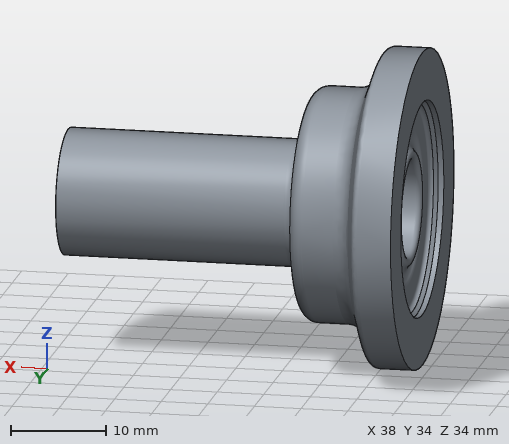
import cadquery as cq
import math

total_length = 38.0
flange_radius = 34.0 / 2
body_radius = 25.0 / 2
tube_radius = 13.5 / 2
bore_radius = 10.3 / 2

flange_corner_x = 4.1
back_slope = math.radians(19.5)
shoulder_x = 12.0
rim_fillet = 0.7
cone_fillet = 1.98
shoulder_fillet = 1.6
tube_fillet = 1.52

recess_radius = 11.5
recess_inner_radius = 22.4 / 2
recess_floor_x = 1.52
recess_wall_length = 0.6
recess_floor_radius = 10.7
recess_fillet = recess_inner_radius - recess_floor_radius

groove_edge_radius = 8.4
groove_start_radius = 7.95
lip_start_radius = 6.15
lip_crest_radius = 5.7
groove_entry_angle = math.radians(30)
lip_angle = math.radians(50)
lip_inner_round = lip_crest_radius - bore_radius


def revolve(profile):
    return profile.close().revolve(360, (0, 0, 0), (1, 0, 0))


def edges_at(body, x, radius):
    """Round edges in the plane at x with the given radius."""
    tolerance = 0.005
    box = cq.selectors.BoxSelector(
        (x - tolerance, -radius - tolerance, -radius - tolerance),
        (x + tolerance, radius + tolerance, radius + tolerance),
        boundingbox=True,
    )
    return body.edges(box).edges("%CIRCLE").edges(cq.selectors.RadiusNthSelector(-1))


def make_outside():
    cone_end_x = flange_corner_x + (flange_radius - body_radius) * math.tan(back_slope)
    body = revolve(
        cq.Workplane("XY")
        .moveTo(0, 0)
        .lineTo(0, flange_radius)
        .lineTo(flange_corner_x, flange_radius)
        .lineTo(cone_end_x, body_radius)
        .lineTo(shoulder_x, body_radius)
        .lineTo(shoulder_x, tube_radius)
        .lineTo(total_length, tube_radius)
        .lineTo(total_length, 0)
    )
    body = edges_at(body, flange_corner_x, flange_radius).fillet(rim_fillet)
    body = edges_at(body, cone_end_x, body_radius).fillet(cone_fillet)
    body = edges_at(body, shoulder_x, body_radius).fillet(shoulder_fillet)
    return edges_at(body, shoulder_x, tube_radius).fillet(tube_fillet)


def make_cavity():
    """Recess and bore as one solid, with the grooved floor and lip left standing."""

    roll_round = (groove_edge_radius - groove_start_radius) / math.sin(groove_entry_angle)
    groove_round = (groove_start_radius - lip_start_radius) / (
        math.sin(groove_entry_angle) + math.sin(lip_angle)
    )
    lip_outer_round = (lip_start_radius - lip_crest_radius) / math.sin(lip_angle)
    groove_start_x = recess_floor_x + roll_round * (1 - math.cos(groove_entry_angle))
    lip_start_x = groove_start_x - groove_round * (math.cos(groove_entry_angle) - math.cos(lip_angle))
    lip_crest_x = lip_start_x - lip_outer_round * (1 - math.cos(lip_angle))

    return revolve(
        cq.Workplane("XY")
        .moveTo(0, 0)
        .lineTo(0, recess_radius)
        .lineTo(recess_wall_length, recess_radius)
        .lineTo(recess_floor_x - recess_fillet, recess_inner_radius)
        .radiusArc((recess_floor_x, recess_floor_radius), recess_fillet)
        .lineTo(recess_floor_x, groove_edge_radius)
        .radiusArc((groove_start_x, groove_start_radius), -roll_round)
        .radiusArc((lip_start_x, lip_start_radius), groove_round)
        .radiusArc((lip_crest_x, lip_crest_radius), -lip_outer_round)
        .radiusArc((lip_crest_x + lip_inner_round, bore_radius), -lip_inner_round)
        .lineTo(total_length, bore_radius)
        .lineTo(total_length, 0)
    )


result = make_outside().cut(make_cavity())